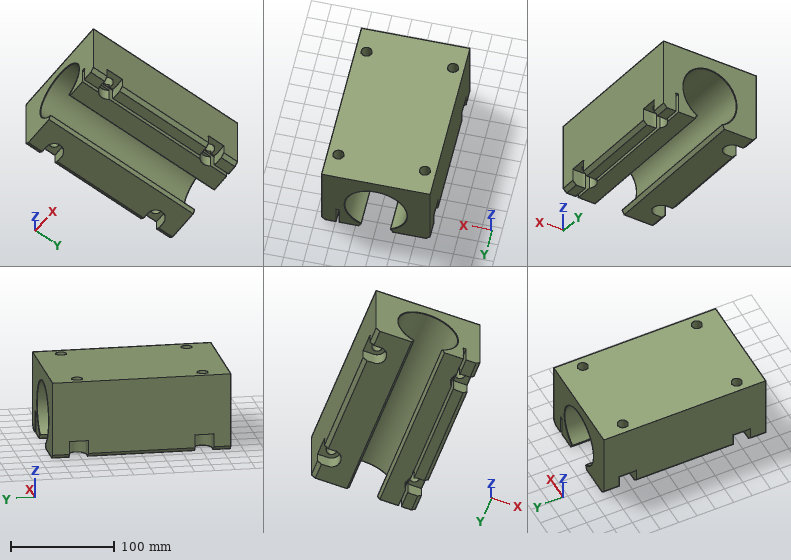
import cadquery as cq
import math

width = 108.0
length = 176.0
height = 77.0
edge_chamfer = 4.0

bore_radius = 31.0
bore_height = 32.0
bore_chamfer = 0.5
opening_half_angle = math.radians(28)

slit_offset = 38.0
slit_width = 3.0
slit_depth = 21.1

hole_diameter = 10.4
hole_spacing_x = 86.0
hole_spacing_y = 123.9
head_slot_width = 18.5
head_slot_depth = 17.0


def make_block():
    block = cq.Workplane("XY").box(width, length, height, centered=(True, True, False))
    return block.faces("<Z").edges("|Y").chamfer(edge_chamfer)


def make_bore():
    """Cylinder along Y that flares at both ends to chamfer the bore mouths."""
    half_length = length / 2
    mouth_radius = bore_radius + bore_chamfer
    chamfer_start = half_length - bore_chamfer
    profile = (
        cq.Workplane("XY")
        .moveTo(0, -half_length)
        .lineTo(mouth_radius, -half_length)
        .lineTo(bore_radius, -chamfer_start)
        .lineTo(bore_radius, chamfer_start)
        .lineTo(mouth_radius, half_length)
        .lineTo(0, half_length)
        .close()
    )
    return profile.revolve(360, (0, 0, 0), (0, 1, 0)).translate((0, 0, bore_height))


def make_opening():
    """Wedge whose sides run radially from the bore axis to the bottom face."""
    half_width = bore_height * math.tan(opening_half_angle)
    return (
        cq.Workplane("XZ")
        .polyline([(0, bore_height), (half_width, 0), (-half_width, 0)])
        .close()
        .extrude(length / 2, both=True)
    )


def make_slit():
    return (
        cq.Workplane("XY")
        .center(slit_offset, 0)
        .box(slit_width, length, slit_depth, centered=(True, True, False))
    )


def make_mounting_cut(side, end):
    """Through hole and U-shaped head slot at one corner; side and end are +1 or -1."""
    hole_x = side * hole_spacing_x / 2
    hole_y = end * hole_spacing_y / 2
    side_distance = (width - hole_spacing_x) / 2
    corner = cq.Workplane("XY").center(hole_x, hole_y)
    hole = corner.circle(hole_diameter / 2).extrude(height)
    round_end = corner.circle(head_slot_width / 2).extrude(head_slot_depth)
    open_end = (
        corner.center(side * side_distance / 2, 0)
        .rect(side_distance, head_slot_width)
        .extrude(head_slot_depth)
    )
    return hole.union(round_end).union(open_end)


result = make_block().cut(make_bore()).cut(make_opening()).cut(make_slit())
for side in (-1, 1):
    for end in (-1, 1):
        result = result.cut(make_mounting_cut(side, end))